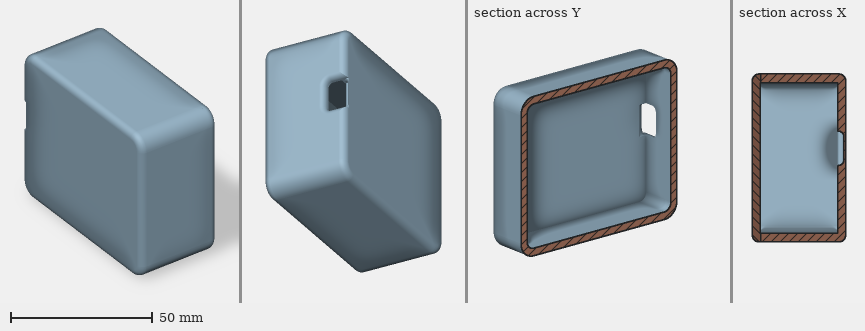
import cadquery as cq
import math

LENGTH = 72.0
DEPTH = 33.3
HEIGHT = 60.0
CORNER_RADIUS = 6.0
RIM_RADIUS = 2.5

WALL = 3.0
SEAM_Y = DEPTH - WALL

WINDOW_HEIGHT = 12.0
WINDOW_CENTER_Z = 33.4
WINDOW_BACK_Y = 8.4
WINDOW_CORNER_RADIUS = 2.0
FLARE_RADIUS = 2.0
OPEN_FRONT_Y = -(WINDOW_CORNER_RADIUS + FLARE_RADIUS)

RECESS_FRONT_Y = 0.8
RECESS_EDGE_RADIUS = 1.0
RECESS_END_RADIUS = WALL - RECESS_EDGE_RADIUS - RECESS_FRONT_Y

LIP_END_X = RIM_RADIUS + math.sqrt(FLARE_RADIUS**2 - (FLARE_RADIUS - RECESS_FRONT_Y) ** 2)
RECESS_STEP_X = LIP_END_X + RECESS_END_RADIUS
RECESS_END_X = RECESS_STEP_X + RECESS_EDGE_RADIUS


def outer_block():
    """Rounded block that housing and lid share as their outer shape."""
    block = cq.Workplane("XY").box(LENGTH, DEPTH, HEIGHT, centered=False)
    block = block.edges("|Y").fillet(CORNER_RADIUS)
    return block.faces("<Y or >Y").edges().fillet(RIM_RADIUS)


def lid_side():
    """Everything behind the seam between housing and lid."""
    slab = cq.Workplane("XY").box(LENGTH, DEPTH - SEAM_Y, HEIGHT, centered=False)
    return slab.translate((0, SEAM_Y, 0))


def cavity():
    """Inner space, concentric with the outer corners and open at the seam."""
    length = LENGTH - 2 * WALL
    height = HEIGHT - 2 * WALL
    space = cq.Workplane("XY").box(length, SEAM_Y - WALL, height, centered=False)
    space = space.edges("|Y").fillet(CORNER_RADIUS - WALL)
    return space.translate((WALL, WALL, WALL))


def window_bar(front_y, length):
    """Bar along X with the rounded section of the window, starting at x = 0."""
    width = WINDOW_BACK_Y - front_y
    bar = cq.Workplane("XY").box(length, width, WINDOW_HEIGHT, centered=(False, False, True))
    bar = bar.edges("|X").fillet(WINDOW_CORNER_RADIUS)
    return bar.translate((0, front_y, WINDOW_CENTER_Z))


def flared_bar(front_y, length):
    """Window bar that widens to a convex flare where it starts, at x = 0."""
    mouth_size = 2 * (WINDOW_BACK_Y + FLARE_RADIUS - front_y)
    mouth = cq.Workplane("YZ", origin=(0, 0, WINDOW_CENTER_Z)).rect(mouth_size, mouth_size).extrude(-0.7)
    cutter = mouth.union(window_bar(front_y, length))
    flare_edges = cutter.faces(">X[-2]").edges("not(<Y or >Y or <Z or >Z)")
    return flare_edges.fillet(FLARE_RADIUS)


def outer_window():
    """Window as deep as the front rim, flared at the outer face and open to the front."""
    return flared_bar(OPEN_FRONT_Y, RIM_RADIUS)


def recess_section():
    """Block over the window behind the front rim, with the rounded end of the recess."""
    step_y = WALL - RECESS_EDGE_RADIUS
    diagonal = math.sqrt(0.5)
    end_middle = (
        LIP_END_X + RECESS_END_RADIUS * diagonal,
        step_y - RECESS_END_RADIUS * diagonal,
    )
    edge_middle = (
        RECESS_END_X - RECESS_EDGE_RADIUS * diagonal,
        step_y + RECESS_EDGE_RADIUS * diagonal,
    )
    profile = (
        cq.Workplane("XY", origin=(0, 0, WINDOW_CENTER_Z))
        .moveTo(RIM_RADIUS, WINDOW_BACK_Y)
        .lineTo(RIM_RADIUS, 0)
        .lineTo(LIP_END_X, 0)
        .lineTo(LIP_END_X, RECESS_FRONT_Y)
        .threePointArc(end_middle, (RECESS_STEP_X, step_y))
        .threePointArc(edge_middle, (RECESS_END_X, WALL))
        .lineTo(RECESS_END_X, WINDOW_BACK_Y)
        .close()
    )
    return profile.extrude(WINDOW_HEIGHT / 2, both=True)


def inner_window():
    """Rest of the window behind the front rim, with the recess in the front wall."""
    lip_start_x = LIP_END_X - FLARE_RADIUS
    lipped_bar = flared_bar(RECESS_FRONT_Y, RECESS_END_X).translate((lip_start_x, 0, 0))
    straight_bar = window_bar(OPEN_FRONT_Y, RECESS_END_X)
    return recess_section().intersect(straight_bar).intersect(lipped_bar)


def make_housing():
    shell = outer_block().cut(lid_side()).cut(cavity())
    return shell.cut(outer_window()).cut(inner_window())


def make_lid():
    return outer_block().intersect(lid_side())


housing = make_housing()
lid = make_lid()
result = cq.Compound.makeCompound([housing.val(), lid.val()])